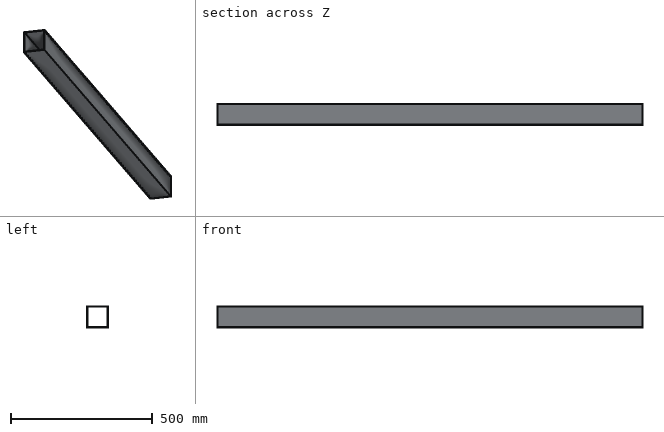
import cadquery as cq

length = 1499.0
outer_side = 76.0
wall = 3.1
inner_side = outer_side - 2 * wall

result = (
    cq.Workplane("YZ")
    .rect(outer_side, outer_side)
    .rect(inner_side, inner_side)
    .extrude(length / 2, both=True)
)